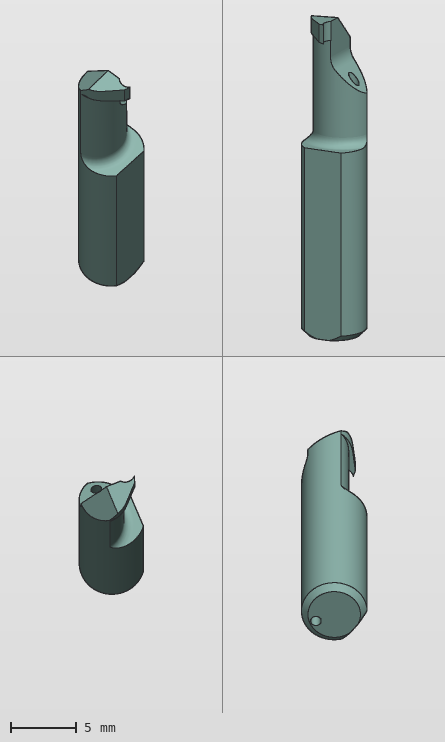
import cadquery as cq
import math

length = 25.0
shank_radius = 2.5
flat_x = 1.95
end_chamfer = 0.5

shoulder_z = 15.05
neck_radius = 2.28
neck_edge_x = 0.8
neck_x = neck_edge_x - neck_radius
shoulder_fillet = 0.75

rake_y = 0.1
tip_x = 1.88
head_height = 1.52
head_bottom_z = length - head_height
top_relief_angle = 4.0
bottom_relief_angle = 5.5
bevel_top_x = -0.4

heel_x = 1.72
heel_y = -0.4
flank_end_x = 0.55
flank_end_y = heel_y - (heel_x - flank_end_x)
flank_radius = 2.22

groove_start_x = 0.75
groove_deepest_x = 1.1
groove_deepest_y = -0.12
tip_y = 0.05

relief_angle = 49.0
relief_knee_z = 21.58
relief_radius = 1.5

hole_x = -0.75
hole_y = 1.3
hole_radius = 0.4

reach = 3 * shank_radius


def make_shank():
    bar = cq.Workplane("XY").circle(shank_radius).extrude(length)
    bar = bar.faces("<Z").chamfer(end_chamfer)
    flat = cq.Workplane("XY").box(reach, reach, length, centered=(False, True, False))
    return bar.cut(flat.translate((flat_x, 0, 0)))


def make_neck_waste():
    """Material outside the neck, with a concave fillet left at the shoulder."""
    fillet_top_z = shoulder_z + shoulder_fillet
    quarter = shoulder_fillet * math.sqrt(0.5)
    profile = (
        cq.Workplane("XZ")
        .moveTo(neck_radius, fillet_top_z)
        .threePointArc(
            (neck_radius + shoulder_fillet - quarter, fillet_top_z - quarter),
            (neck_radius + shoulder_fillet, shoulder_z),
        )
        .lineTo(reach, shoulder_z)
        .lineTo(reach, length)
        .lineTo(neck_radius, length)
        .close()
    )
    return profile.revolve(360, (0, 0, 0), (0, 1, 0)).translate((neck_x, 0, 0))


def make_head():
    """Hooked head, with an underside that rises away from the rake face."""
    flank_offset = flank_radius * math.sqrt(0.5)
    arc_x = flank_end_x - flank_offset
    arc_y = flank_end_y + flank_offset
    arc_angle = math.radians(-(45 + 90) / 2)
    blank = (
        cq.Workplane("XY")
        .moveTo(arc_x, rake_y)
        .lineTo(groove_start_x, rake_y)
        .threePointArc((groove_deepest_x, groove_deepest_y), (tip_x, tip_y))
        .lineTo(heel_x, heel_y)
        .lineTo(flank_end_x, flank_end_y)
        .threePointArc(
            (arc_x + flank_radius * math.cos(arc_angle), arc_y + flank_radius * math.sin(arc_angle)),
            (arc_x, arc_y - flank_radius),
        )
        .close()
        .extrude(length)
    )
    underside = (
        cq.Workplane("XY")
        .box(2 * reach, 2 * reach, 2 * length)
        .translate((0, 0, -length))
        .rotate((0, 0, 0), (1, 0, 0), -bottom_relief_angle)
        .translate((0, rake_y, head_bottom_z))
    )
    return blank.cut(underside)


def make_chip_groove():
    """Cutter for the part of the groove that runs into the neck at head height."""
    return (
        cq.Workplane("XY")
        .workplane(offset=head_bottom_z)
        .moveTo(groove_start_x, rake_y)
        .threePointArc((groove_deepest_x, groove_deepest_y), (tip_x, tip_y))
        .lineTo(tip_x, rake_y)
        .close()
        .extrude(head_height)
    )


def make_top_waste():
    """Material above the 45 degree bevel and the end face, both falling toward -Y."""
    outline = (
        cq.Workplane("XZ")
        .moveTo(bevel_top_x - reach, -reach)
        .lineTo(bevel_top_x, 0)
        .lineTo(reach, 0)
        .lineTo(reach, reach)
        .lineTo(bevel_top_x - reach, reach)
        .close()
        .extrude(reach, both=True)
    )
    tilted = outline.rotate((0, 0, 0), (1, 0, 0), top_relief_angle)
    return tilted.translate((0, rake_y, length))


def make_relief():
    """Flat rake plane that runs out through a rounded knee and a slope."""
    drop = (reach - rake_y) * math.tan(math.radians(relief_angle))
    relief = (
        cq.Workplane("YZ")
        .moveTo(rake_y, length)
        .lineTo(rake_y, relief_knee_z)
        .lineTo(reach, relief_knee_z - drop)
        .lineTo(reach, length)
        .close()
        .extrude(reach, both=True)
    )
    knee = cq.selectors.NearestToPointSelector((0, rake_y, relief_knee_z))
    return relief.edges("|X").edges(knee).fillet(relief_radius)


def make_hole():
    return cq.Workplane("XY").center(hole_x, hole_y).circle(hole_radius).extrude(length)


result = (
    make_shank()
    .cut(make_neck_waste())
    .union(make_head())
    .cut(make_chip_groove())
    .cut(make_top_waste())
    .cut(make_relief())
    .cut(make_hole())
)